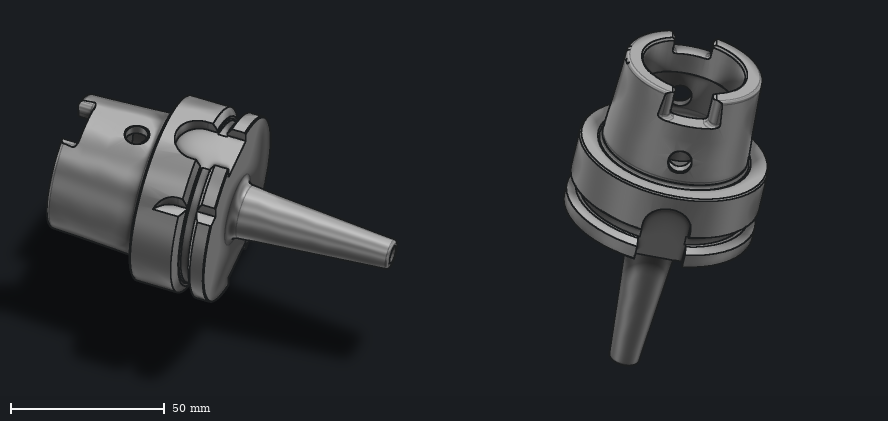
import cadquery as cq
import math

total_length = 112.0
shank_length = 32.0
flange_rear_x = 58.0

gauge_diameter = 48.0
gauge_x = 25.8
shank_taper = 0.1
shank_taper_end_x = 29.8
shank_end_round = 1.1

land_end_x = 30.8
relief_start_x = 31.1
relief_radius = 23.9
relief_fillet = 1.0
face_recess_diameter = 51.0
face_recess_depth = 0.2

flange_diameter = 63.0
flange_front_chamfer = 0.6
flange_rear_chamfer = 0.3
groove_diameter = 54.9
groove_floor_start_x = 48.6
groove_floor_end_x = 51.6
groove_floor_chamfer = 0.5
groove_wall_depth = 2.7
groove_wall_angle = 30.0

nose_tip_diameter = 10.0
nose_half_angle = 4.5
nose_root_fillet = 3.0
nose_tip_round = 1.0

bore_diameter = 34.0
bore_entry_chamfer = 0.6
bore_entry_depth = 0.9
bore_end_x = 12.8
clamp_diameter = 40.0
clamp_cone_angle = 60.0
cavity_floor_x = 31.4
cavity_floor_diameter = 31.6

tube_bore_diameter = 16.9
tube_bore_end_x = 44.8
countersink_diameter = 8.4
countersink_half_angle = 30.0
tool_bore_diameter = 6.0
tool_bore_depth = 35.8
coolant_diameter = 4.8
coolant_start_x = 53.8

radial_hole_x = 23.1
radial_hole_diameter = 7.5
radial_hole_rim_diameter = 8.4

keyway_width = 12.5
keyway_mouth_width = 14.6
keyway_mouth_depth = 0.6
keyway_flare_radius = 2.7
keyway_flare_height = 20.7
keyway_floor_fillet = 1.3
upper_keyway_depth = 5.8
lower_keyway_depth = 10.0

slot_width = 15.9
slot_center_x = 44.8
slot_floor_height = 26.4
notch_wall_y = -20.2
notch_floor_height = 19.9

clearance = 44.8


def axial_solid(start_x, end_x, start_diameter, end_diameter):
    """Round solid along X, cylindrical or conical."""
    return (
        cq.Workplane("XY")
        .moveTo(start_x, 0)
        .lineTo(start_x, start_diameter / 2)
        .lineTo(end_x, end_diameter / 2)
        .lineTo(end_x, 0)
        .close()
        .revolve(360, (0, 0, 0), (1, 0, 0))
    )


def shank_radius(x):
    """Radius of the shank taper at a distance x from its open end."""
    return (gauge_diameter + shank_taper * (x - gauge_x)) / 2


def shank():
    """Tapered shank with its rounded end and the relief at the flange."""
    land_radius = shank_radius(shank_taper_end_x)
    recess_floor_x = shank_length + face_recess_depth
    fillet_mid = relief_fillet * math.sqrt(0.5)
    fillet_center = (recess_floor_x - relief_fillet, relief_radius + relief_fillet)
    body = (
        cq.Workplane("XY")
        .lineTo(0, shank_radius(0))
        .lineTo(shank_taper_end_x, land_radius)
        .lineTo(land_end_x, land_radius)
        .lineTo(relief_start_x, relief_radius)
        .lineTo(fillet_center[0], relief_radius)
        .threePointArc(
            (fillet_center[0] + fillet_mid, fillet_center[1] - fillet_mid),
            (recess_floor_x, fillet_center[1]),
        )
        .lineTo(recess_floor_x, 0)
        .close()
        .revolve(360, (0, 0, 0), (1, 0, 0))
    )
    return body.faces("<X").edges().fillet(shank_end_round)


def flange():
    """Flange disc with a V-shaped gripper groove and a shallow recess in its front face."""
    outer = flange_diameter / 2
    groove = groove_diameter / 2
    wall_run = groove_wall_depth * math.tan(math.radians(groove_wall_angle))
    front_wall_x = groove_floor_start_x - groove_floor_chamfer
    recess_floor_x = shank_length + face_recess_depth
    return (
        cq.Workplane("XY")
        .moveTo(recess_floor_x, 0)
        .lineTo(recess_floor_x, relief_radius + relief_fillet)
        .lineTo(shank_length, face_recess_diameter / 2)
        .lineTo(shank_length, outer - flange_front_chamfer)
        .lineTo(shank_length + flange_front_chamfer, outer)
        .lineTo(front_wall_x - wall_run, outer)
        .lineTo(front_wall_x, outer - groove_wall_depth)
        .lineTo(front_wall_x, groove + groove_floor_chamfer)
        .lineTo(groove_floor_start_x, groove)
        .lineTo(groove_floor_end_x, groove)
        .lineTo(groove_floor_end_x, outer - groove_wall_depth)
        .lineTo(groove_floor_end_x + wall_run, outer)
        .lineTo(flange_rear_x - flange_rear_chamfer, outer)
        .lineTo(flange_rear_x, outer - flange_rear_chamfer)
        .lineTo(flange_rear_x, 0)
        .close()
        .revolve(360, (0, 0, 0), (1, 0, 0))
    )


def nose():
    """Slender cone with a rounded tip."""
    growth = (total_length - flange_rear_x) * math.tan(math.radians(nose_half_angle))
    root_diameter = nose_tip_diameter + 2 * growth
    cone = axial_solid(flange_rear_x, total_length, root_diameter, nose_tip_diameter)
    return cone.faces(">X").edges().fillet(nose_tip_round)


def round_nose_root(body):
    """Fillet the corner between the rear flange face and the nose."""
    root = cq.selectors.BoxSelector(
        (flange_rear_x - 0.1, -nose_tip_diameter * 1.2, -nose_tip_diameter * 1.2),
        (flange_rear_x + 0.1, nose_tip_diameter * 1.2, nose_tip_diameter * 1.2),
        boundingbox=True,
    )
    return body.edges(root).fillet(nose_root_fillet)


def cavity():
    """Shank bore, wider clamping chamber with a rounded floor."""
    bore = bore_diameter / 2
    clamp = clamp_diameter / 2
    floor = cavity_floor_diameter / 2
    cone_run = (clamp - bore) / math.tan(math.radians(clamp_cone_angle))
    corner = clamp - floor
    corner_mid = corner * math.sqrt(0.5)
    return (
        cq.Workplane("XY")
        .lineTo(0, bore + bore_entry_chamfer)
        .lineTo(bore_entry_depth, bore)
        .lineTo(bore_end_x, bore)
        .lineTo(bore_end_x + cone_run, clamp)
        .lineTo(cavity_floor_x - corner, clamp)
        .threePointArc(
            (cavity_floor_x - corner + corner_mid, floor + corner_mid),
            (cavity_floor_x, floor),
        )
        .lineTo(cavity_floor_x, 0)
        .close()
        .revolve(360, (0, 0, 0), (1, 0, 0))
    )


def axial_holes():
    """Coolant tube bore, countersunk passage and the tool bore at the tip."""
    sink_depth = (countersink_diameter - tool_bore_diameter) / 2 / math.tan(math.radians(countersink_half_angle))
    sink_end_x = tube_bore_end_x + sink_depth
    tool_bore_x = total_length - tool_bore_depth
    steps = [
        (cavity_floor_x, tube_bore_end_x, tube_bore_diameter, tube_bore_diameter),
        (tube_bore_end_x, sink_end_x, countersink_diameter, tool_bore_diameter),
        (sink_end_x, coolant_start_x, tool_bore_diameter, tool_bore_diameter),
        (coolant_start_x, tool_bore_x, coolant_diameter, coolant_diameter),
        (tool_bore_x, total_length, tool_bore_diameter, tool_bore_diameter),
    ]
    holes = axial_solid(*steps[0])
    for step in steps[1:]:
        holes = holes.union(axial_solid(*step))
    return holes


def radial_hole(side):
    """Hole through one shank wall with a chamfered rim; side is +1 (up) or -1 (down)."""
    rim_chamfer = (radial_hole_rim_diameter - radial_hole_diameter) / 2
    local_radius = shank_radius(radial_hole_x)
    seat = cq.Plane((radial_hole_x, 0, 0), (1, 0, 0), (0, 0, side))
    hole = cq.Workplane(seat).circle(radial_hole_diameter / 2).extrude(clearance)
    rim = (
        cq.Workplane(seat)
        .workplane(offset=local_radius - rim_chamfer)
        .circle(radial_hole_diameter / 2)
        .workplane(offset=rim_chamfer)
        .circle(radial_hole_rim_diameter / 2)
        .loft()
    )
    return hole.union(rim)


def keyway(side, depth):
    """Keyway across the shank end, flared at the outside; side is +1 (up) or -1 (down)."""
    half = keyway_width / 2
    mouth = keyway_mouth_width / 2
    flare_mid = keyway_flare_radius * (1 - math.sqrt(0.5))
    flare_start = keyway_flare_height - keyway_flare_radius
    flare_edge = half + keyway_flare_radius
    section = cq.Plane((0, 0, 0), (0, side, 0), (1, 0, 0))
    channel = (
        cq.Workplane(section)
        .moveTo(-half, 0)
        .lineTo(half, 0)
        .lineTo(half, flare_start)
        .threePointArc((half + flare_mid, keyway_flare_height - flare_mid), (flare_edge, keyway_flare_height))
        .lineTo(clearance, keyway_flare_height)
        .lineTo(clearance, clearance)
        .lineTo(-clearance, clearance)
        .lineTo(-clearance, keyway_flare_height)
        .lineTo(-flare_edge, keyway_flare_height)
        .threePointArc((-half - flare_mid, keyway_flare_height - flare_mid), (-half, flare_start))
        .close()
        .extrude(depth)
        .faces(">X")
        .edges()
        .fillet(keyway_floor_fillet)
    )
    mouth_taper = (
        cq.Workplane("XY")
        .polyline([(0, -mouth), (0, mouth), (keyway_mouth_depth, half), (keyway_mouth_depth, -half)])
        .close()
        .extrude(side * clearance)
    )
    return channel.union(mouth_taper)


def flange_slot(center_y, floor_height, side):
    """Round-ended slot open to the rear of the flange, cut down to a flat floor."""
    run = flange_rear_x + 1.1 - slot_center_x
    seat = cq.Workplane("XY").workplane(offset=side * floor_height)
    round_end = seat.center(slot_center_x, center_y).circle(slot_width / 2).extrude(side * clearance)
    channel = seat.center(slot_center_x + run / 2, center_y).rect(run, slot_width).extrude(side * clearance)
    return round_end.union(channel)


result = round_nose_root(shank().union(flange()).union(nose()))
result = result.cut(cavity()).cut(axial_holes())
for side, keyway_depth in ((1, upper_keyway_depth), (-1, lower_keyway_depth)):
    result = result.cut(radial_hole(side))
    result = result.cut(keyway(side, keyway_depth))
    result = result.cut(flange_slot(0, slot_floor_height, side))
result = result.cut(flange_slot(notch_wall_y - slot_width / 2, notch_floor_height, 1))